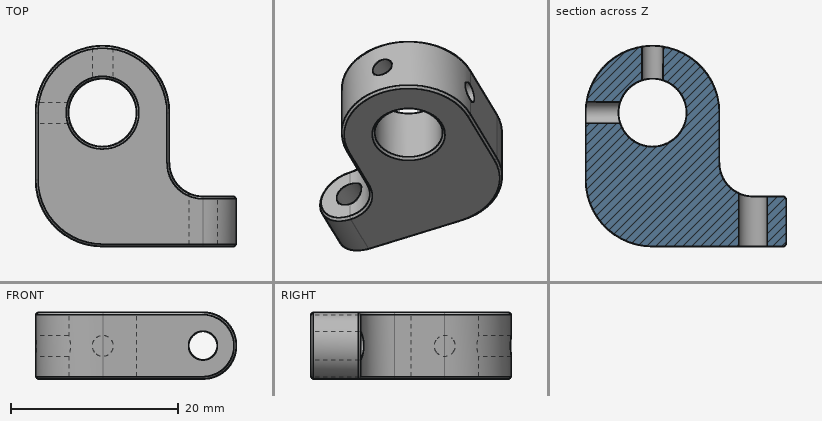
import cadquery as cq

thickness = 8.0
boss_radius = 8.0
length_x = 24.0
length_y = 24.0
arm_width = 6.0
inner_fillet = 4.0
edge_chamfer = 0.3

bore_diameter = 8.1
arm_hole_diameter = 3.4
set_screw_diameter = 2.5

mid_height = thickness / 2
boss_x = boss_radius
boss_y = length_y - boss_radius
boss_right = 2 * boss_radius
arm_end_radius = thickness / 2
arm_hole_x = length_x - arm_end_radius


def plate():
    """L-shaped plate with a round boss end and a round outer corner."""
    return (
        cq.Workplane("XY")
        .moveTo(boss_radius, 0)
        .lineTo(length_x, 0)
        .lineTo(length_x, arm_width)
        .lineTo(boss_right + inner_fillet, arm_width)
        .radiusArc((boss_right, arm_width + inner_fillet), inner_fillet)
        .lineTo(boss_right, boss_y)
        .threePointArc((boss_x, length_y), (0, boss_y))
        .lineTo(0, boss_radius)
        .radiusArc((boss_radius, 0), -boss_radius)
        .close()
        .extrude(thickness)
    )


def side_profile():
    """Plate cross-section along Y, with the arm end rounded over its full thickness."""
    return (
        cq.Workplane("XZ")
        .moveTo(0, 0)
        .lineTo(arm_hole_x, 0)
        .threePointArc((length_x, mid_height), (arm_hole_x, thickness))
        .lineTo(0, thickness)
        .close()
        .extrude(-length_y)
    )


def cylinder(diameter, length, start, direction):
    """Cylindrical cutter of the given length from a start point."""
    solid = cq.Solid.makeCylinder(diameter / 2, length, cq.Vector(*start), cq.Vector(*direction))
    return cq.Workplane(solid)


def chamfered_body():
    """Rounded plate with the bore, chamfered along its outline and both bore rims."""
    body = plate().intersect(side_profile())
    body = body.cut(cylinder(bore_diameter, thickness, (boss_x, boss_y, 0), (0, 0, 1)))
    return body.edges("not (|Y or |Z)").chamfer(edge_chamfer)


def set_screw_holes():
    """Radial holes from the -X and +Y sides into the bore."""
    from_left = cylinder(set_screw_diameter, boss_x, (0, boss_y, mid_height), (1, 0, 0))
    from_back = cylinder(set_screw_diameter, boss_radius, (boss_x, length_y, mid_height), (0, -1, 0))
    return from_left.union(from_back)


def arm_hole():
    """Hole along Y through the arm end, long enough to clear the inner fillet beside it."""
    return cylinder(arm_hole_diameter, arm_width + inner_fillet, (arm_hole_x, 0, mid_height), (0, 1, 0))


result = chamfered_body().cut(arm_hole()).cut(set_screw_holes())